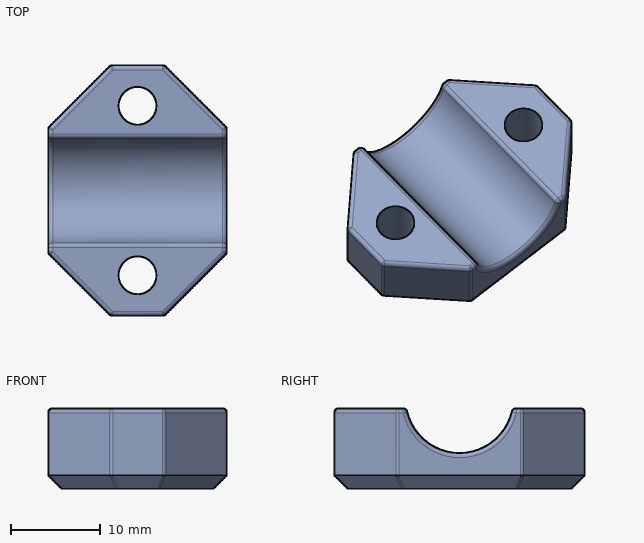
import cadquery as cq

width = 20.0
length = 28.0
height = 9.0
corner_cut = 7.0
bottom_chamfer = 1.5
edge_radius = 0.5

groove_radius = 6.0
groove_axis_height = 10.0

hole_diameter = 4.2
hole_offset = 9.45


def octagonal_block():
    """Block with cut corners, chamfered underneath, its side corners rounded."""
    block = (
        cq.Workplane("XY")
        .rect(width, length)
        .extrude(height)
        .edges("|Z")
        .chamfer(corner_cut)
    )
    block = block.faces("<Z").chamfer(bottom_chamfer)
    side_corners = block.edges("not #Z")
    return side_corners.fillet(edge_radius)


def cut_groove(block):
    """Cut the cradle and round its rims together with the top outline."""
    groove = (
        cq.Workplane("YZ")
        .center(0, groove_axis_height)
        .circle(groove_radius)
        .extrude(width, both=True)
    )
    cradle = block.cut(groove)
    groove_ends = cradle.faces("<X or >X").edges("%CIRCLE")
    return cradle.faces(">Z").edges().add(groove_ends).fillet(edge_radius)


def cut_holes(cradle):
    """Drill the two mounting holes right through."""
    holes = (
        cq.Workplane("XY")
        .pushPoints([(0, -hole_offset), (0, hole_offset)])
        .circle(hole_diameter / 2)
        .extrude(height)
    )
    return cradle.cut(holes)


result = cut_holes(cut_groove(octagonal_block()))